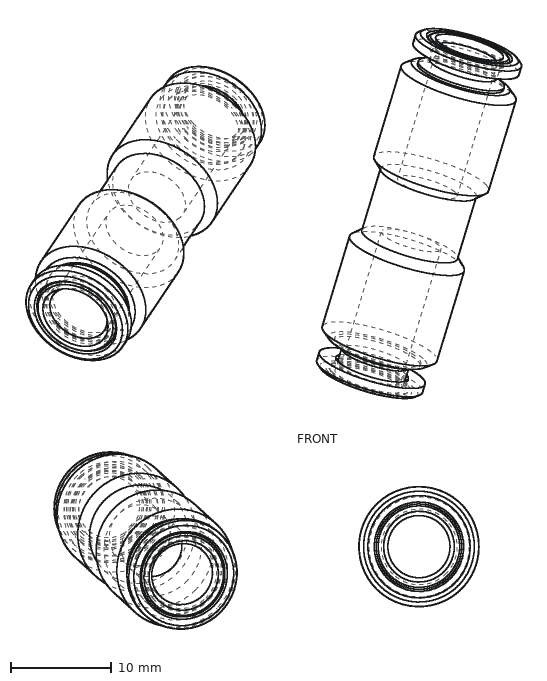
import cadquery as cq

length = 35.75
half_length = length / 2

body_radius = 6.0
body_end_inset = 3.15
body_chamfer_length = 0.7
body_chamfer_depth = 0.85
waist_radius = 5.0
waist_half_length = 3.32
shoulder_length = 0.95

flange_radius = 5.55
flange_thickness = 1.25
flange_chamfer_length = 0.35
flange_chamfer_depth = 0.43
neck_radius = 3.5
neck_end_inset = 2.32
clearance_radius = 3.8
clearance_depth = 0.43
seat_radius = 4.5
seat_inset = 2.9

groove_outer_radius = 4.45
groove_inner_radius = 4.07
groove_middle_radius = (groove_outer_radius + groove_inner_radius) / 2
groove_depth = (groove_outer_radius - groove_inner_radius) / 2

bore_radius = 3.1
bore_mouth_radius = 3.55
bore_chamfer_length = 0.75
bore_depth = 15.0


def end_outline():
    """Half profile of the +Y end as (radius, y) points, from the waist to the bore floor."""
    body_end = half_length - body_end_inset
    flange_back = half_length - flange_thickness
    bore_floor = half_length - bore_depth
    return [
        (waist_radius, waist_half_length),
        (body_radius, waist_half_length + shoulder_length),
        (body_radius, body_end - body_chamfer_length),
        (body_radius - body_chamfer_depth, body_end),
        (seat_radius, body_end),
        (seat_radius, half_length - seat_inset),
        (neck_radius, half_length - neck_end_inset),
        (neck_radius, flange_back + clearance_depth),
        (clearance_radius, flange_back + clearance_depth),
        (clearance_radius, flange_back),
        (flange_radius, flange_back),
        (flange_radius, half_length - flange_chamfer_length),
        (flange_radius - flange_chamfer_depth, half_length),
        (groove_outer_radius, half_length),
        (groove_middle_radius, half_length - groove_depth),
        (groove_inner_radius, half_length),
        (bore_mouth_radius, half_length),
        (bore_radius, half_length - bore_chamfer_length),
        (bore_radius, bore_floor),
        (0, bore_floor),
    ]


def make_fitting():
    """Revolve both identical ends and the waist between them about the Y axis."""
    far_end = end_outline()
    near_end = [(radius, -y) for radius, y in reversed(far_end)]
    profile = cq.Workplane("XY").polyline(near_end + far_end).close()
    return profile.revolve(360, (0, 0, 0), (0, 1, 0))


result = make_fitting()